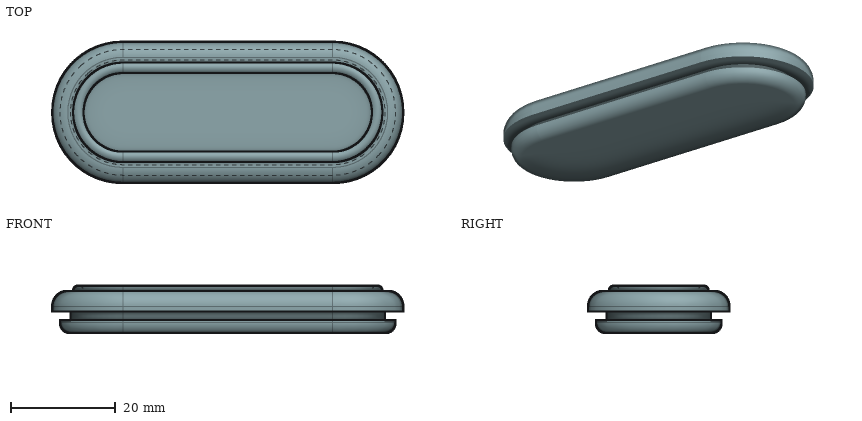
import cadquery as cq

center_distance = 40.0

lip_radius = 12.0
lip_height = 2.5
lip_fillet = 2.0

neck_radius = 10.0
neck_height = 1.6

flange_radius = 13.5
flange_height = 4.0
flange_fillet = 3.0

bead_radius = 1.0
bead_path_radius = 8.5

flange_bottom = lip_height + neck_height
flange_top = flange_bottom + flange_height


def slot_plate(end_radius, bottom, height):
    """Slot-shaped plate along X with round ends of the given radius."""
    length = center_distance + 2 * end_radius
    return cq.Workplane("XY", origin=(0, 0, bottom)).slot2D(length, 2 * end_radius).extrude(height)


def make_lip():
    return slot_plate(lip_radius, 0, lip_height).faces("<Z").edges().fillet(lip_fillet)


def make_neck():
    return slot_plate(neck_radius, lip_height, neck_height)


def make_flange():
    plate = slot_plate(flange_radius, flange_bottom, flange_height)
    return plate.faces(">Z").edges().fillet(flange_fillet)


def make_bead():
    """Round rod swept around a slot path; its lower half sinks into the flange."""
    half_length = center_distance / 2
    path = (
        cq.Workplane("XY", origin=(0, 0, flange_top))
        .moveTo(0, -bead_path_radius)
        .lineTo(half_length, -bead_path_radius)
        .threePointArc((half_length + bead_path_radius, 0), (half_length, bead_path_radius))
        .lineTo(-half_length, bead_path_radius)
        .threePointArc((-half_length - bead_path_radius, 0), (-half_length, -bead_path_radius))
        .close()
    )
    section = cq.Workplane("YZ", origin=(0, -bead_path_radius, flange_top)).circle(bead_radius)
    return section.sweep(path)


result = make_lip().union(make_neck()).union(make_flange()).union(make_bead())